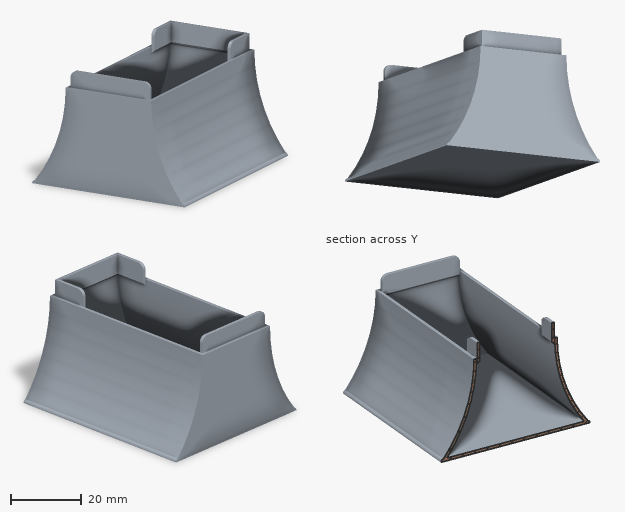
import cadquery as cq
import math

length = 60.0
foot_width = 50.0
rim_width = 28.0
rim_height = 30.0
wall = 1.0
tab_height = 5.0
strip_height = 1.0
side_tab_length = 11.0
tab_radius = 2.0

flare_spread = (foot_width - rim_width) / 2
flare_radius = (rim_height**2 + flare_spread**2) / (2 * flare_spread)
flare_center_x = rim_width / 2 + flare_radius

mouth_width = rim_width - 2 * wall
cavity_length = length - 2 * wall
front_y = -cavity_length / 2
back_y = cavity_length / 2

strip_bottom_z = rim_height - strip_height - wall


def flare_x(z, radius):
    """Half width of a flared side of the given radius at height z."""
    return flare_center_x - math.sqrt(radius**2 - (rim_height - z) ** 2)


def flared_block(block_length, bottom_z, radius):
    """Block along Y whose two sides flare from the rim down to bottom_z."""
    middle_z = (bottom_z + rim_height) / 2
    top_x = flare_x(rim_height, radius)
    middle_x = flare_x(middle_z, radius)
    bottom_x = flare_x(bottom_z, radius)
    return (
        cq.Workplane("XZ")
        .moveTo(-top_x, rim_height)
        .lineTo(top_x, rim_height)
        .threePointArc((middle_x, middle_z), (bottom_x, bottom_z))
        .lineTo(-bottom_x, bottom_z)
        .threePointArc((-middle_x, middle_z), (-top_x, rim_height))
        .close()
        .extrude(block_length / 2, both=True)
    )


def foot_bead(side):
    """Half-round bead along the foot edge on one side (-1 or 1)."""
    center_x = side * (foot_width / 2 - wall)
    return (
        cq.Workplane("XZ")
        .moveTo(center_x - wall, 0)
        .threePointArc((center_x, wall), (center_x + wall, 0))
        .close()
        .extrude(length / 2, both=True)
    )


def make_housing():
    """Open-topped flared housing with an even wall, a flat floor and beaded foot edges."""
    outside = flared_block(length, 0, flare_radius)
    for side in (-1, 1):
        outside = outside.union(foot_bead(side))
    cavity = flared_block(cavity_length, wall, flare_radius + wall)
    return outside.cut(cavity)


def back_channel(bottom_z, height):
    """U-shaped plate against the back wall and the back ends of the side walls."""
    outer = cq.Workplane("XY").box(mouth_width, side_tab_length, height, centered=(True, False, False))
    inner = cq.Workplane("XY").box(
        mouth_width - 2 * wall, side_tab_length - wall, height, centered=(True, False, False)
    )
    return outer.cut(inner).translate((0, back_y - side_tab_length, bottom_z))


def make_front_tab():
    """Front tab above the rim, with rounded top corners."""
    plate = cq.Workplane("XY").box(mouth_width, wall, tab_height, centered=(True, False, False))
    plate = plate.translate((0, front_y, rim_height))
    return plate.edges("|Y and >Z").fillet(tab_radius)


def make_back_tab():
    """Back tab above the rim, with the free top corners of its two side arms rounded."""
    return back_channel(rim_height, tab_height).faces("<Y").edges(">Z").fillet(tab_radius)


def make_front_strip():
    """Strip on the front wall that carries the front tab, tapered at 45 degrees below."""
    return (
        cq.Workplane("YZ")
        .moveTo(front_y, rim_height)
        .lineTo(front_y + wall, rim_height)
        .lineTo(front_y + wall, rim_height - strip_height)
        .lineTo(front_y, strip_bottom_z)
        .close()
        .extrude(mouth_width / 2, both=True)
    )


def make_back_strip():
    """U-shaped strip that carries the back tab, tapered at 45 degrees below to the walls."""
    upper = back_channel(rim_height - strip_height, strip_height)
    lower = back_channel(strip_bottom_z, wall)
    opening_length = 2 * (side_tab_length - wall)
    opening = (
        cq.Workplane("XY", origin=(0, back_y - side_tab_length, strip_bottom_z))
        .rect(mouth_width, opening_length + 2 * wall)
        .workplane(offset=wall)
        .rect(mouth_width - 2 * wall, opening_length)
        .loft(ruled=True)
    )
    return upper.union(lower.cut(opening))


housing = make_housing()
front_tab = make_front_tab()
back_tab = make_back_tab()
front_strip = make_front_strip()
back_strip = make_back_strip()

result = cq.Compound.makeCompound(
    [housing.val(), front_tab.val(), back_tab.val(), front_strip.val(), back_strip.val()]
)